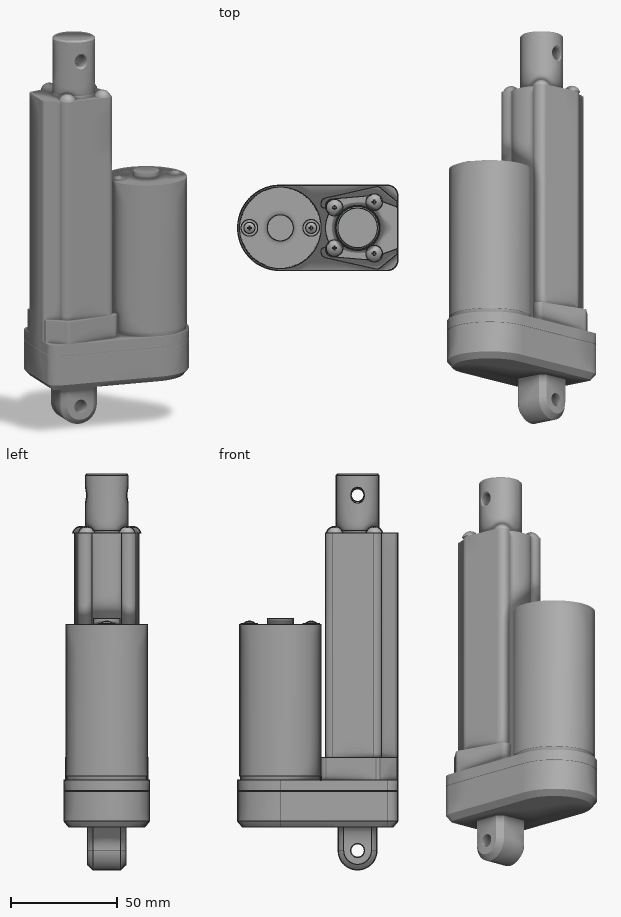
import cadquery as cq
import math

TOTAL_HEIGHT = 185.3

GEARBOX_WIDTH = 40.0
GEARBOX_LENGTH = 75.0
GEARBOX_RIGHT = 18.9
GEARBOX_BOTTOM = 20.0
GEARBOX_TOP = 42.0
GEARBOX_CORNER_RADIUS = 5.0
GEARBOX_BEVEL_HEIGHT = 2.8
GEARBOX_BEVEL_INSET = 2.5
SEAM_Z = 36.9
SEAM_WIDTH = 0.4
SEAM_DEPTH = 0.4

RECESS_LENGTH = 1.9
RECESS_WIDTH = 0.5

MOTOR_X = GEARBOX_RIGHT - GEARBOX_LENGTH + GEARBOX_WIDTH / 2
MOTOR_RADIUS = 19.0
MOTOR_TOP = 114.9
MOTOR_NECK_RADIUS = 18.7
MOTOR_NECK_HEIGHT = 1.9
MOTOR_BOSS_RADIUS = 6.1
MOTOR_BOSS_HEIGHT = 2.8
MOTOR_SCREW_OFFSET = 14.5
WASHER_RADIUS = 3.9
WASHER_HEIGHT = 0.4
MOTOR_SCREW_RADIUS = 2.6
MOTOR_SCREW_HEIGHT = 1.1
MOTOR_SCREW_RECESS_DEPTH = 0.7

TUBE_TOP = 157.7
TUBE_BACK_RADIUS = 15.0
BOSS_RADIUS = 3.5
LEFT_BOSS = (-11.5, 10.0)
RIGHT_BOSS = (7.8, 11.7)
RIGHT_BOSS_END_ANGLE = math.radians(12)
TUBE_SCREWS = ((-10.7, 9.5), (7.8, 12.0))
TUBE_RIGHT_HALF_WIDTH = 9.6
TUBE_EDGE_RADIUS = 1.5
TUBE_SCREW_RADIUS = 3.9
TUBE_SCREW_HEIGHT = 3.0
TUBE_SCREW_RECESS_DEPTH = 1.5

SADDLE_TOP = 52.6
SADDLE_RIGHT = 18.5
SADDLE_TIP_X = -17.0
SADDLE_NOTCH_HALF_WIDTH = 9.3
SADDLE_TIP_HALF_WIDTH = 13.5
SADDLE_SHOULDER = (9.6, 19.5)
SADDLE_RIGHT_HALF_WIDTH = 12.2
SADDLE_SHOULDER_RADIUS = 2.2
SADDLE_TIP_OUTER_RADIUS = 2.8
SADDLE_TIP_INNER_RADIUS = 1.5

ROD_RADIUS = 10.0
ROD_CHAMFER = 0.7
ROD_HOLE_RADIUS = 3.0
ROD_HOLE_CHAMFER = 0.4
ROD_SEAL_RADIUS = 10.5
ROD_SEAL_HEIGHT = 1.1
ROD_HOLE_DEPTH_FROM_TOP = 10.0
ROD_HOLE_Z = TOTAL_HEIGHT - ROD_HOLE_DEPTH_FROM_TOP

LUG_RADIUS = 9.0
LUG_THICKNESS = 18.2
LUG_ROOT_DEPTH = 3.7
LUG_CHAMFER = 2.6
LUG_HOLE_RADIUS = 3.2


def cylinder(x, y, bottom, radius, height):
    return cq.Workplane("XY", origin=(x, y, bottom)).circle(radius).extrude(height)


def gearbox_solid(inset, bottom, height):
    """Plate with a full round at the motor end and rounded corners at the other end."""
    half_width = GEARBOX_WIDTH / 2 - inset
    right = GEARBOX_RIGHT - inset
    plate = (
        cq.Workplane("XY", origin=(0, 0, bottom))
        .moveTo(MOTOR_X, half_width)
        .lineTo(right, half_width)
        .lineTo(right, -half_width)
        .lineTo(MOTOR_X, -half_width)
        .threePointArc((MOTOR_X - half_width, 0), (MOTOR_X, half_width))
        .close()
        .extrude(height)
    )
    return plate.edges("|Z and >X").fillet(GEARBOX_CORNER_RADIUS - inset)


def make_gearbox():
    body = gearbox_solid(0, GEARBOX_BOTTOM, GEARBOX_TOP - GEARBOX_BOTTOM)
    body = body.faces("<Z").chamfer(GEARBOX_BEVEL_HEIGHT, GEARBOX_BEVEL_INSET)
    seam_bottom = SEAM_Z - SEAM_WIDTH / 2
    outer = gearbox_solid(0, seam_bottom, SEAM_WIDTH)
    core = gearbox_solid(SEAM_DEPTH, seam_bottom, SEAM_WIDTH)
    return body.cut(outer.cut(core))


def dome_screw(x, y, bottom, radius, height, recess_depth):
    """Spherical-cap screw head with a cross recess in its crown."""
    sphere_radius = (radius**2 + height**2) / (2 * height)
    half_angle = math.asin(radius / sphere_radius) / 2
    middle_r = sphere_radius * math.sin(half_angle)
    middle_z = height - sphere_radius * (1 - math.cos(half_angle))
    head = (
        cq.Workplane("XZ")
        .lineTo(radius, 0)
        .threePointArc((middle_r, middle_z), (0, height))
        .close()
        .revolve(360, (0, 0), (0, 1))
        .translate((x, y, bottom))
    )
    recess = (
        cq.Workplane("XY", origin=(x, y, bottom + height - recess_depth))
        .rect(RECESS_LENGTH, RECESS_WIDTH)
        .extrude(recess_depth)
    )
    recess = recess.union(recess.rotate((x, y, 0), (x, y, 1), 90))
    return head.cut(recess)


def make_motor():
    can_bottom = GEARBOX_TOP + MOTOR_NECK_HEIGHT
    motor = cylinder(MOTOR_X, 0, GEARBOX_TOP, MOTOR_NECK_RADIUS, MOTOR_NECK_HEIGHT)
    motor = motor.union(cylinder(MOTOR_X, 0, can_bottom, MOTOR_RADIUS, MOTOR_TOP - can_bottom))
    motor = motor.union(cylinder(MOTOR_X, 0, MOTOR_TOP, MOTOR_BOSS_RADIUS, MOTOR_BOSS_HEIGHT))
    for side in (-1, 1):
        x = MOTOR_X + side * MOTOR_SCREW_OFFSET
        motor = motor.union(cylinder(x, 0, MOTOR_TOP, WASHER_RADIUS, WASHER_HEIGHT))
        motor = motor.union(dome_screw(
            x, 0, MOTOR_TOP + WASHER_HEIGHT, MOTOR_SCREW_RADIUS, MOTOR_SCREW_HEIGHT,
            MOTOR_SCREW_RECESS_DEPTH))
    return motor


def make_tube():
    """Prism around the rod with a rounded back, four screw bosses and tapered right flanks."""
    (left_x, left_y), (right_x, right_y) = LEFT_BOSS, RIGHT_BOSS
    slope = math.atan2(right_y - left_y, right_x - left_x)
    flank_dx = -BOSS_RADIUS * math.sin(slope)
    flank_dy = BOSS_RADIUS * math.cos(slope)

    def right_boss_point(angle):
        return right_x + BOSS_RADIUS * math.cos(angle), right_y + BOSS_RADIUS * math.sin(angle)

    height = TUBE_TOP - GEARBOX_TOP
    half = (
        cq.Workplane("XY", origin=(0, 0, GEARBOX_TOP))
        .moveTo(left_x, 0)
        .lineTo(left_x, left_y)
        .lineTo(left_x + flank_dx, left_y + flank_dy)
        .lineTo(right_x + flank_dx, right_y + flank_dy)
        .threePointArc(right_boss_point(math.radians(45)), right_boss_point(RIGHT_BOSS_END_ANGLE))
        .lineTo(GEARBOX_RIGHT, TUBE_RIGHT_HALF_WIDTH)
        .lineTo(GEARBOX_RIGHT, 0)
        .close()
        .extrude(height)
    )
    right_edge = cq.selectors.NearestToPointSelector(
        (GEARBOX_RIGHT, TUBE_RIGHT_HALF_WIDTH, GEARBOX_TOP + height / 2))
    half = half.edges(right_edge).fillet(TUBE_EDGE_RADIUS)
    half = half.union(cylinder(left_x, left_y, GEARBOX_TOP, BOSS_RADIUS, height))
    tube = half.union(half.mirror("XZ"))
    back_limit = cq.Workplane("XY").box(
        2 * TUBE_BACK_RADIUS, 2 * left_y, 2 * TUBE_TOP)
    back = cylinder(0, 0, GEARBOX_TOP, TUBE_BACK_RADIUS, height).intersect(back_limit)
    tube = tube.union(back)
    for x, y in TUBE_SCREWS:
        for side in (-1, 1):
            tube = tube.union(dome_screw(
                x, side * y, TUBE_TOP, TUBE_SCREW_RADIUS, TUBE_SCREW_HEIGHT,
                TUBE_SCREW_RECESS_DEPTH))
    return tube


def make_saddle():
    """Two mirrored wings that hold the foot of the tube, joined on the right."""
    shoulder_x, shoulder_y = SADDLE_SHOULDER
    middle_z = (GEARBOX_TOP + SADDLE_TOP) / 2
    corner_radii = (
        ((SADDLE_TIP_X, SADDLE_NOTCH_HALF_WIDTH), SADDLE_TIP_INNER_RADIUS),
        ((SADDLE_TIP_X, SADDLE_TIP_HALF_WIDTH), SADDLE_TIP_OUTER_RADIUS),
        (SADDLE_SHOULDER, SADDLE_SHOULDER_RADIUS),
    )
    half = (
        cq.Workplane("XY", origin=(0, 0, GEARBOX_TOP))
        .polyline([
            (0, 0),
            (0, SADDLE_NOTCH_HALF_WIDTH),
            (SADDLE_TIP_X, SADDLE_NOTCH_HALF_WIDTH),
            (SADDLE_TIP_X, SADDLE_TIP_HALF_WIDTH),
            (shoulder_x, shoulder_y),
            (SADDLE_RIGHT, SADDLE_RIGHT_HALF_WIDTH),
            (SADDLE_RIGHT, 0),
        ])
        .close()
        .extrude(SADDLE_TOP - GEARBOX_TOP)
    )
    for (x, y), radius in corner_radii:
        corner = cq.selectors.NearestToPointSelector((x, y, middle_z))
        half = half.edges(corner).fillet(radius)
    return half.union(half.mirror("XZ"))


def make_rod():
    rod = cylinder(0, 0, GEARBOX_TOP, ROD_RADIUS, TOTAL_HEIGHT - GEARBOX_TOP)
    rod = rod.faces(">Z").chamfer(ROD_CHAMFER)
    return rod.cut(make_rod_hole())


def make_rod_hole():
    """Cross hole along Y, widened by a cone where it meets the rod surface at each end."""
    bore = (
        cq.Workplane("XZ", origin=(0, 0, ROD_HOLE_Z))
        .circle(ROD_HOLE_RADIUS)
        .extrude(ROD_RADIUS, both=True)
    )
    mouth = cq.Workplane("XY").add(cq.Solid.makeCone(
        ROD_HOLE_RADIUS, ROD_HOLE_RADIUS + 2 * ROD_HOLE_CHAMFER, 2 * ROD_HOLE_CHAMFER,
        pnt=cq.Vector(0, ROD_RADIUS - 2 * ROD_HOLE_CHAMFER, ROD_HOLE_Z), dir=cq.Vector(0, 1, 0)))
    return bore.union(mouth).union(mouth.mirror("XZ"))


def make_seal():
    """Conical lip where the rod leaves the tube."""
    cone = cq.Solid.makeCone(
        ROD_SEAL_RADIUS, ROD_RADIUS, ROD_SEAL_HEIGHT, pnt=cq.Vector(0, 0, TUBE_TOP))
    return cq.Workplane("XY").add(cone)


def make_lug():
    """Rounded eye below the gearbox; its root is sunk into the housing."""
    straight_height = GEARBOX_BOTTOM + LUG_ROOT_DEPTH - LUG_RADIUS
    lug = (
        cq.Workplane("XZ", origin=(0, LUG_THICKNESS / 2, LUG_RADIUS))
        .moveTo(-LUG_RADIUS, straight_height)
        .lineTo(-LUG_RADIUS, 0)
        .threePointArc((0, -LUG_RADIUS), (LUG_RADIUS, 0))
        .lineTo(LUG_RADIUS, straight_height)
        .close()
        .extrude(LUG_THICKNESS)
    )
    lug = lug.faces("<Y or >Y").edges("not >Z").chamfer(LUG_CHAMFER)
    hole = (
        cq.Workplane("XZ", origin=(0, 0, LUG_RADIUS))
        .circle(LUG_HOLE_RADIUS)
        .extrude(LUG_THICKNESS, both=True)
    )
    return lug.cut(hole)


result = (
    make_gearbox()
    .union(make_motor())
    .union(make_tube())
    .union(make_saddle())
    .union(make_rod())
    .union(make_seal())
    .union(make_lug())
)